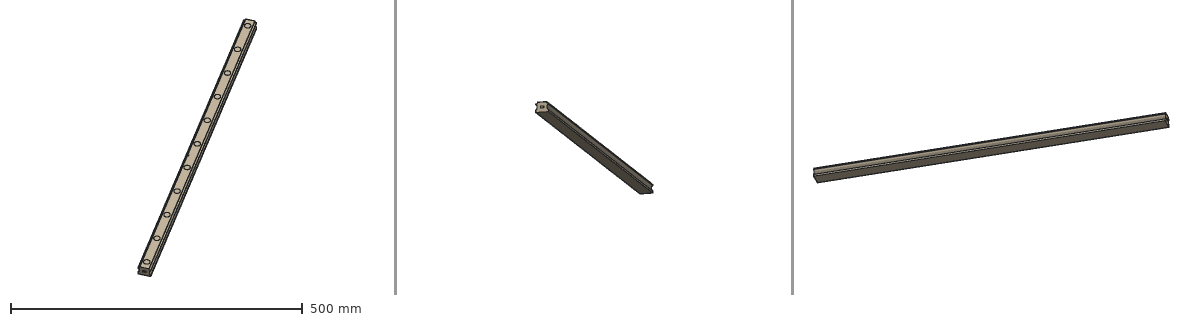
import cadquery as cq
import math

WIDTH = 23.0
LENGTH = 630.0
HEIGHT = 18.0

LAND_WIDTH = 16.7
LAND_WALL_BOTTOM = 16.25
SHOULDER_SAG = 0.3
HEAD_EDGE_TOP = 14.8
HEAD_EDGE_BOTTOM = 13.65

WAIST_WIDTH = 18.1
HEAD_FLANK_ANGLE = 63.0
HEAD_FILLET_RADIUS = 4.0
FOOT_FLANK_ANGLE = 35.0
FOOT_FILLET_RADIUS = 2.9
FOOT_EDGE_TOP = 3.5

CAP_COUNT = 11
CAP_PITCH = 60.0
CAP_DIAMETER = 11.0
CAP_DEPTH = 0.1

MARK_WIDTH = 6.0
MARK_HEIGHT = 3.0
MARK_DEPTH = 0.2


def flank_points(edge_z, direction, angle, radius):
    """Points from a side edge to the waist: flank end, middle and end of its fillet.

    direction is +1 for a flank rising from edge_z and -1 for one falling from it.
    """
    edge_x = WIDTH / 2
    waist_x = WAIST_WIDTH / 2
    tilt = math.radians(angle)
    flank_x = waist_x + radius * (1 - math.cos(tilt))
    flank_rise = (edge_x - flank_x) / math.tan(tilt)
    waist_rise = flank_rise + radius * math.sin(tilt)
    middle_x = waist_x + radius * (1 - math.cos(tilt / 2))
    middle_rise = waist_rise - radius * math.sin(tilt / 2)
    flank_end = (flank_x, edge_z + direction * flank_rise)
    fillet_middle = (middle_x, edge_z + direction * middle_rise)
    fillet_end = (waist_x, edge_z + direction * waist_rise)
    return flank_end, fillet_middle, fillet_end


def half_section():
    """Closed outline of the +X half of the rail section."""
    edge_x = WIDTH / 2
    land_x = LAND_WIDTH / 2
    foot_flank, foot_middle, foot_waist = flank_points(
        FOOT_EDGE_TOP, 1, FOOT_FLANK_ANGLE, FOOT_FILLET_RADIUS
    )
    head_flank, head_middle, head_waist = flank_points(
        HEAD_EDGE_BOTTOM, -1, HEAD_FLANK_ANGLE, HEAD_FILLET_RADIUS
    )
    return (
        cq.Workplane("XZ")
        .moveTo(0, 0)
        .lineTo(edge_x, 0)
        .lineTo(edge_x, FOOT_EDGE_TOP)
        .lineTo(*foot_flank)
        .threePointArc(foot_middle, foot_waist)
        .lineTo(*head_waist)
        .threePointArc(head_middle, head_flank)
        .lineTo(edge_x, HEAD_EDGE_BOTTOM)
        .lineTo(edge_x, HEAD_EDGE_TOP)
        .sagittaArc((land_x, LAND_WALL_BOTTOM), SHOULDER_SAG)
        .lineTo(land_x, HEIGHT)
        .lineTo(0, HEIGHT)
        .close()
    )


def rail_body():
    """Full rail, symmetric about the YZ plane and centred on Y."""
    half_body = half_section().extrude(LENGTH / 2, both=True)
    return half_body.union(half_body.mirror("YZ"), clean=True)


def cap_recesses():
    """Evenly pitched round recesses left above the hole caps."""
    first_y = -CAP_PITCH * (CAP_COUNT - 1) / 2
    centers = [(0, first_y + index * CAP_PITCH) for index in range(CAP_COUNT)]
    land_plane = cq.Workplane("XY").workplane(offset=HEIGHT)
    return land_plane.pushPoints(centers).circle(CAP_DIAMETER / 2).extrude(-CAP_DEPTH)


def end_mark():
    """Rectangular recess at the middle of the -Y end face."""
    end_plane = cq.Workplane("XZ", origin=(0, -LENGTH / 2, HEIGHT / 2))
    return end_plane.rect(MARK_WIDTH, MARK_HEIGHT).extrude(-MARK_DEPTH)


result = rail_body().cut(cap_recesses()).cut(end_mark())